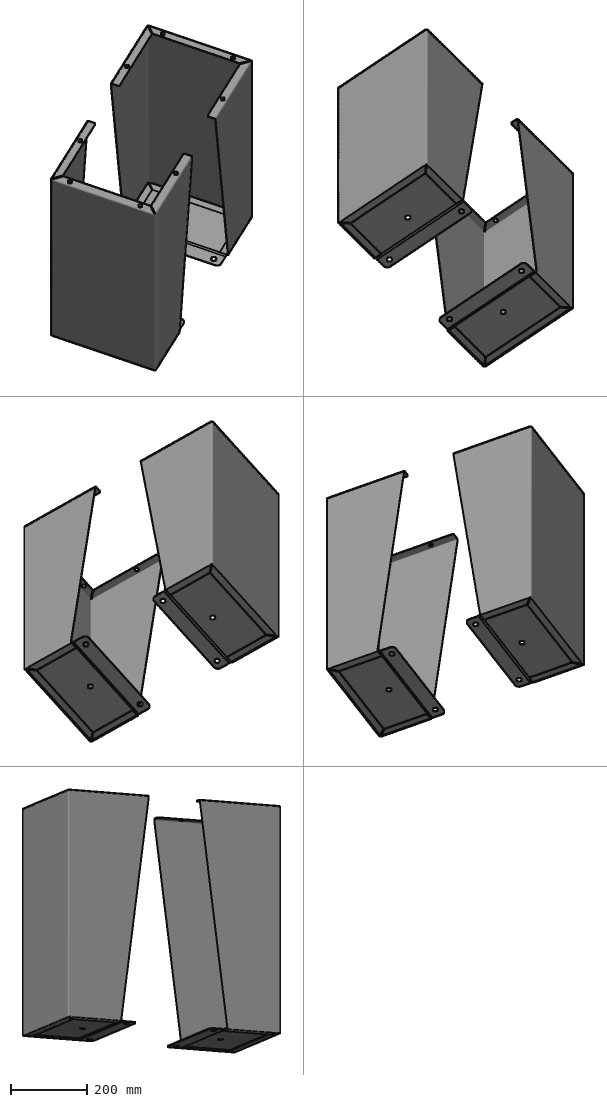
import cadquery as cq

WIDTH = 305.0
LENGTH = 609.5
HEIGHT = 609.5

SHEET = 2.5
BEND_RADIUS = 5.0
FLANGE_WIDTH = 25.0
MITRE_GAP = 2.75
TIP_RADIUS = 3.5
TOP_DEPTH = 231.5
BOTTOM_DEPTH = 153.0

SCREW_DIAMETER = 11.0
SCREW_INSET = 14.0
BACK_SCREW_FROM_SIDE = 50.5
SIDE_SCREW_FROM_BACK = 158.5

JOG_END = 161.5
FOOT_END = 199.5
PLATE_CORNER_RADIUS = 12.0
PLATE_HOLE_DIAMETER = 14.0
CENTRE_HOLE_FROM_BACK = 107.0
FOOT_HOLE_FROM_BACK = 180.5
FOOT_HOLE_FROM_SIDE = 30.0

HALF_WIDTH = WIDTH / 2


def rounded_block(inset, radius):
    """Rounded block inset from the cover's outer faces, running past the open +Y side."""
    depth = TOP_DEPTH + 2 * BEND_RADIUS
    return (
        cq.Workplane("XY")
        .box(WIDTH - 2 * inset, depth, HEIGHT - 2 * inset, centered=(True, False, False))
        .translate((0, inset, inset))
        .edges("not >Y")
        .fillet(radius)
    )


def opening():
    """Space between the flanges, open through the top and the bottom."""
    width = WIDTH - 2 * FLANGE_WIDTH
    return (
        cq.Workplane("XY")
        .box(width, LENGTH, HEIGHT, centered=(True, False, False))
        .translate((0, FLANGE_WIDTH, 0))
    )


def side_profile():
    """Side outline of the cover, sloping between the top and bottom bends."""
    return (
        cq.Workplane("YZ")
        .polyline([
            (0, 0),
            (BOTTOM_DEPTH, 0),
            (BOTTOM_DEPTH, BEND_RADIUS),
            (TOP_DEPTH, HEIGHT - BEND_RADIUS),
            (TOP_DEPTH, HEIGHT),
            (0, HEIGHT),
        ])
        .close()
        .extrude(HALF_WIDTH, both=True)
    )


def mitre_slits():
    """Diagonal gaps between the back and side flanges, at the top and the bottom."""
    reach = 2 * FLANGE_WIDTH
    slits = cq.Workplane("XY")
    for side in (-1, 1):
        for base in (0, HEIGHT - SHEET):
            slit = (
                cq.Workplane("XY")
                .box(reach, MITRE_GAP, SHEET, centered=(False, True, False))
                .rotate((0, 0, 0), (0, 0, 1), 90 + side * 45)
                .translate((side * (HALF_WIDTH - BEND_RADIUS), BEND_RADIUS, base))
            )
            slits = slits.add(slit)
    return slits.combine()


def top_flange_holes():
    """Two screw holes in the back flange and one in each side flange."""
    back_x = HALF_WIDTH - BACK_SCREW_FROM_SIDE
    side_x = HALF_WIDTH - SCREW_INSET
    points = []
    for side in (-1, 1):
        points.append((side * back_x, SCREW_INSET))
        points.append((side * side_x, SIDE_SCREW_FROM_BACK))
    return (
        cq.Workplane("XY")
        .workplane(offset=HEIGHT - SHEET)
        .pushPoints(points)
        .circle(SCREW_DIAMETER / 2)
        .extrude(SHEET)
    )


def round_flange_tips(cover):
    """Round the inner corner at the free end of both top flanges."""
    tip_x = HALF_WIDTH - FLANGE_WIDTH
    for x in (-tip_x, tip_x):
        tip_edge = cq.selectors.NearestToPointSelector((x, TOP_DEPTH, HEIGHT - SHEET / 2))
        cover = cover.edges(tip_edge).fillet(TIP_RADIUS)
    return cover


def make_cover():
    """Three-sided sheet cover with flanges turned inward at the top and the bottom."""
    outer = rounded_block(0, BEND_RADIUS)
    inner = rounded_block(SHEET, BEND_RADIUS - SHEET)
    cover = outer.cut(inner).cut(opening()).intersect(side_profile())
    cover = round_flange_tips(cover)
    return cover.cut(mitre_slits()).cut(top_flange_holes())


def make_foot_plate():
    """Plate lying on the bottom flanges, jogged down to a foot level with their underside."""
    start = BEND_RADIUS
    jog_start = BOTTOM_DEPTH
    plate = (
        cq.Workplane("YZ")
        .polyline([
            (start, SHEET),
            (jog_start, SHEET),
            (JOG_END - SHEET, 0),
            (FOOT_END, 0),
            (FOOT_END, SHEET),
            (JOG_END, SHEET),
            (jog_start, 2 * SHEET),
            (start, 2 * SHEET),
        ])
        .close()
        .extrude(HALF_WIDTH - start, both=True)
    )
    plate = plate.edges("|Z").fillet(PLATE_CORNER_RADIUS)
    foot_x = HALF_WIDTH - FOOT_HOLE_FROM_SIDE
    holes = (
        cq.Workplane("XY")
        .pushPoints([
            (0, CENTRE_HOLE_FROM_BACK),
            (-foot_x, FOOT_HOLE_FROM_BACK),
            (foot_x, FOOT_HOLE_FROM_BACK),
        ])
        .circle(PLATE_HOLE_DIAMETER / 2)
        .extrude(2 * SHEET)
    )
    return plate.cut(holes)


def placed_pair(body):
    """Two solids of one body: at the -Y end and, after half a turn, at the +Y end."""
    front = body.solids().translate((0, -LENGTH / 2, 0))
    return [front.rotate((0, 0, 0), (0, 0, 1), angle).val() for angle in (0, 180)]


covers = placed_pair(make_cover())
foot_plates = placed_pair(make_foot_plate())

result = cq.Compound.makeCompound([*covers, *foot_plates])